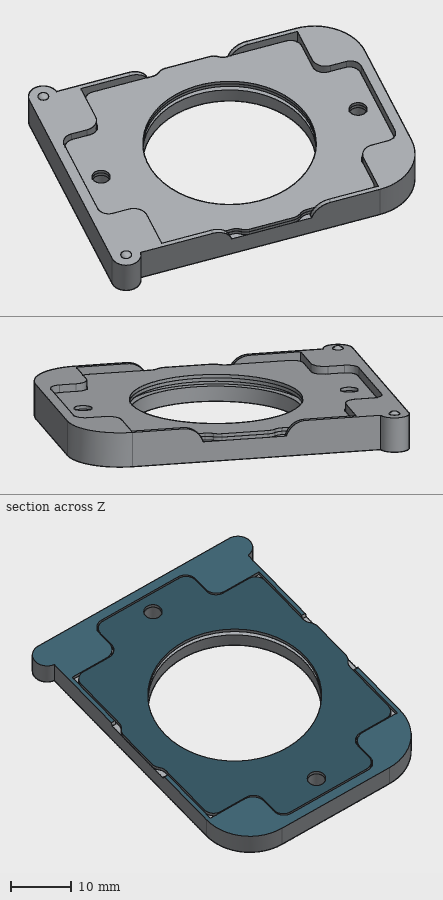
import cadquery as cq
import math

housing_length = 56.45
housing_width = 40.3
housing_height = 6.0
back_corner_radius = 9.0

ear_radius = 2.5
ear_spacing = 39.6
ear_y = -housing_length / 2 + ear_radius
dome_radius = 0.9
dome_height = 0.45

plate_count = 2
stack_height = 1.2
plate_thickness = stack_height / plate_count
rim_height = 1.3
floor_z = housing_height - rim_height - stack_height

pocket_width = 38.7
pocket_length = 38.5
lobe_width = 19.85
lobe_length = 52.85
corner_radius = 2.0
pocket_root_radius = 2.35

outer_clearance = 0.2
root_clearance = 0.05
plate_width = pocket_width - 2 * outer_clearance
plate_length = pocket_length - 2 * root_clearance
plate_lobe_width = lobe_width - 2 * root_clearance
plate_lobe_length = lobe_length - 2 * outer_clearance

tab_tip_length = 7.9
tab_reach = (housing_width - plate_width) / 2

notch_length = 14.2
notch_rounding = 3.5

edge_margin = 0.005

opening_diameter = 28.9
seat_diameter = 31.4
seat_depth = 0.85
hole_diameter = 3.0
hole_spacing = 45.65


def cross_prism(width, length, narrow_width, full_length, height):
    """Cross of two centred rectangles, standing on Z = 0."""
    wide_part = cq.Workplane("XY").box(width, length, height, centered=(True, True, False))
    lobes = cq.Workplane("XY").box(narrow_width, full_length, height, centered=(True, True, False))
    return wide_part.union(lobes)


def edges_at(x, y):
    """Selector for the four upright edges at (+-x, +-y)."""
    selector = None
    for sx in (-1, 1):
        for sy in (-1, 1):
            box = cq.selectors.BoxSelector(
                (sx * x - edge_margin, sy * y - edge_margin, 0),
                (sx * x + edge_margin, sy * y + edge_margin, housing_height),
            )
            selector = box if selector is None else selector + box
    return selector


def cut_openings(body, height):
    """Cut the large central opening and the two small holes through a body."""
    opening = cq.Workplane("XY").circle(opening_diameter / 2).extrude(height)
    holes = (
        cq.Workplane("XY")
        .pushPoints([(0, -hole_spacing / 2), (0, hole_spacing / 2)])
        .circle(hole_diameter / 2)
        .extrude(height)
    )
    return body.cut(opening).cut(holes)


def make_dome():
    """Spherical cap on Z = 0, made by turning its half profile about the Z axis."""
    sphere_radius = (dome_radius**2 + dome_height**2) / (2 * dome_height)
    half_angle = math.asin(dome_radius / sphere_radius) / 2
    centre_z = dome_height - sphere_radius
    arc_middle = (
        sphere_radius * math.sin(half_angle),
        centre_z + sphere_radius * math.cos(half_angle),
    )
    return (
        cq.Workplane("XZ")
        .lineTo(dome_radius, 0)
        .threePointArc(arc_middle, (0, dome_height))
        .close()
        .revolve(360, (0, 0), (0, 1))
    )


def make_pocket():
    """Space above the pocket floor: square outer corners, rounded lobes and lobe roots."""
    pocket = cross_prism(pocket_width, pocket_length, lobe_width, lobe_length, housing_height - floor_z)
    pocket = pocket.edges(edges_at(lobe_width / 2, lobe_length / 2)).fillet(corner_radius)
    pocket = pocket.edges(edges_at(lobe_width / 2, pocket_length / 2)).fillet(pocket_root_radius)
    return pocket.translate((0, 0, floor_z))


def make_rim_notch():
    """Notch through both side rims, widening upward to meet the rim top in round shoulders."""
    centre_z = housing_height - notch_rounding
    bottom_y = notch_length / 2
    floor_angle = math.asin((floor_z - centre_z) / notch_rounding)
    shoulder_y = bottom_y + notch_rounding * math.cos(floor_angle)
    middle_angle = (floor_angle + math.pi / 2) / 2
    middle_y = shoulder_y - notch_rounding * math.cos(middle_angle)
    middle_z = centre_z + notch_rounding * math.sin(middle_angle)
    return (
        cq.Workplane("YZ")
        .moveTo(-bottom_y, floor_z)
        .lineTo(bottom_y, floor_z)
        .threePointArc((middle_y, middle_z), (shoulder_y, housing_height))
        .lineTo(-shoulder_y, housing_height)
        .threePointArc((-middle_y, middle_z), (-bottom_y, floor_z))
        .close()
        .extrude(housing_width / 2, both=True)
    )


def make_housing():
    block = cq.Workplane("XY").box(
        housing_width, housing_length, housing_height, centered=(True, True, False)
    )
    block = block.edges("|Z and >Y").fillet(back_corner_radius)

    front_strip = cq.Workplane("XY").box(
        housing_width, ear_radius, housing_height, centered=(True, False, False)
    )
    block = block.cut(front_strip.translate((0, -housing_length / 2, 0)))
    ear_bar = (
        cq.Workplane("XY")
        .moveTo(0, ear_y)
        .slot2D(ear_spacing + 2 * ear_radius, 2 * ear_radius)
        .extrude(housing_height)
    )
    housing = block.union(ear_bar)

    housing = housing.cut(make_pocket()).cut(make_rim_notch())
    housing = cut_openings(housing, housing_height)
    seat = cq.Workplane("XY", origin=(0, 0, floor_z - seat_depth)).circle(seat_diameter / 2)
    housing = housing.cut(seat.extrude(seat_depth))

    for ear_x in (-ear_spacing / 2, ear_spacing / 2):
        housing = housing.union(make_dome().translate((ear_x, ear_y, housing_height)))
    return housing


def make_tabs():
    """Strip across the plate whose ends flare in with two equal arcs at each corner."""
    turn = math.acos(1 - tab_reach / (2 * corner_radius))
    tip_x = housing_width / 2
    side_x = plate_width / 2
    middle_x = (tip_x + side_x) / 2
    tip_y = tab_tip_length / 2
    middle_y = tip_y + corner_radius * math.sin(turn)
    root_y = tip_y + 2 * corner_radius * math.sin(turn)
    bulge_x = corner_radius * (1 - math.cos(turn / 2))
    bulge_y = corner_radius * math.sin(turn / 2)
    right_half = (
        cq.Workplane("XY")
        .moveTo(0, -root_y)
        .lineTo(side_x, -root_y)
        .threePointArc((side_x + bulge_x, bulge_y - root_y), (middle_x, -middle_y))
        .threePointArc((tip_x - bulge_x, -tip_y - bulge_y), (tip_x, -tip_y))
        .lineTo(tip_x, tip_y)
        .threePointArc((tip_x - bulge_x, tip_y + bulge_y), (middle_x, middle_y))
        .threePointArc((side_x + bulge_x, root_y - bulge_y), (side_x, root_y))
        .lineTo(0, root_y)
        .close()
        .extrude(plate_thickness)
    )
    return right_half.union(right_half.mirror("YZ"))


def make_plate(level):
    """One plate of the stack; level 0 lies on the pocket floor."""
    plate = cross_prism(plate_width, plate_length, plate_lobe_width, plate_lobe_length, plate_thickness)
    plate = plate.edges("|Z").fillet(corner_radius)
    plate = cut_openings(plate.union(make_tabs()), plate_thickness)
    return plate.translate((0, 0, floor_z + level * plate_thickness))


housing = make_housing()
plates = [make_plate(level) for level in range(plate_count)]
result = cq.Compound.makeCompound([housing.val(), *[plate.val() for plate in plates]])